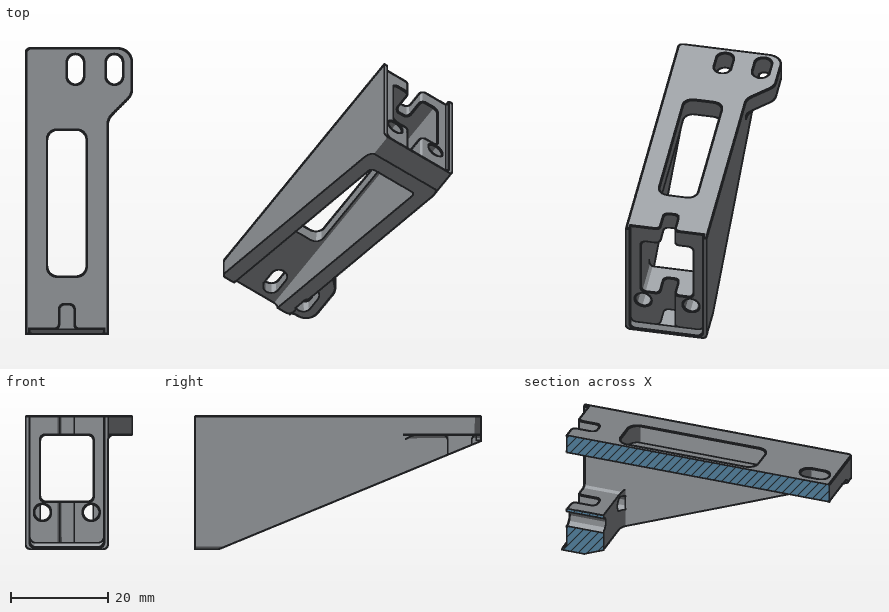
import cadquery as cq

length = 59.0
height = 27.5
body_width = 17.0
total_width = 22.0
body_center = body_width / 2
plate_thickness = 4.0
edge_chamfer = 0.2
corner_radius = 1.0

flat_bottom_length = 4.95
end_height = 5.2

flange_corner_radius = 3.0
flange_blend_radius = 3.0
flange_taper_end = 44.3
flange_width = total_width - body_width
flange_root_radius = 1.0

slot_width = 3.4
slot_length = 6.15
slot_y = 54.6
first_slot_x = 10.25
slot_pitch = 8.0

window_width = 7.95
window_start = 12.0
window_end = 42.05
window_radius = 2.0

recess_depth = 1.0
rim_width = 0.9
rim_chamfer = 0.2
lip_height = 0.35
recess_corner_radius = 1.2

tunnel_width = 10.85
tunnel_bottom = 9.9
tunnel_top = height - plate_thickness
block_end = 9.1
tunnel_radius = 1.0

groove_width = 3.0
groove_end = 6.1
groove_floor = lip_height + recess_depth

hole_diameter = 3.3
hole_spacing = 10.05
hole_z = 7.6

reach = 0.05


def box(x0, x1, y0, y1, z0, z1):
    """Axis-aligned box between two opposite corners."""
    return cq.Workplane("XY").box(x1 - x0, y1 - y0, z1 - z0, centered=False).translate((x0, y0, z0))


def centered_box(width, y0, y1, z0, z1):
    """Box centred on the body's middle plane."""
    return box(body_center - width / 2, body_center + width / 2, y0, y1, z0, z1)


def edges_inside(part, low, high):
    """Edges of the part whose centres lie inside the box from low to high."""
    return part.edges(cq.selectors.BoxSelector(low, high))


def make_body():
    body = box(0, body_width, 0, length, 0, height)
    body = body.edges("|Y and <Z").fillet(corner_radius)
    return body.edges("|Z and <X and >Y").fillet(corner_radius)


def make_flange():
    """Plate with a 45 degree taper on its side, starting inside the body so the two overlap."""
    inner_end = flange_taper_end - 2 * flange_blend_radius
    taper_corners = [
        (total_width, flange_taper_end + flange_width),
        (body_width, flange_taper_end),
    ]
    outline = [
        (body_center, length),
        (total_width, length),
        *taper_corners,
        (body_width, inner_end),
        (body_center, inner_end),
    ]
    flange = cq.Workplane("XY").workplane(offset=tunnel_top).polyline(outline).close().extrude(plate_thickness)
    flange = flange.edges("|Z and >X and >Y").fillet(flange_corner_radius)
    for x, y in taper_corners:
        corner = edges_inside(flange, (x - reach, y - reach, 0), (x + reach, y + reach, height))
        flange = corner.edges("|Z").fillet(flange_blend_radius)
    return flange.faces("<Z").edges().chamfer(edge_chamfer)


def make_flange_root():
    """Concave fillet under the flange, along the side of the body."""
    start = flange_taper_end - flange_blend_radius
    z = tunnel_top - flange_root_radius
    root = box(body_width, body_width + flange_root_radius, start, length, z, tunnel_top)
    rounding = (
        cq.Workplane("XZ")
        .center(body_width + flange_root_radius, z)
        .circle(flange_root_radius)
        .extrude(-length)
    )
    footprint = make_flange().translate((0, 0, -2 * flange_root_radius))
    return root.cut(rounding).intersect(footprint)


def make_slope_cutter():
    """Wedge below the sloped underside."""
    outline = [(flat_bottom_length, 0), (length, height - end_height), (length, 0)]
    return cq.Workplane("YZ").polyline(outline).close().extrude(total_width)


def make_recess():
    """U-shaped pocket, open at the top, whose floor climbs at 45 degrees from the lip."""
    profile = (
        cq.Workplane("XZ")
        .center(body_center, lip_height + height / 2)
        .rect(body_width - 2 * rim_width, height)
        .extrude(-recess_depth)
        .edges("|Y and <Z")
        .fillet(recess_corner_radius)
        .faces("<Y")
        .wires()
        .val()
    )
    climb = cq.Vector(0, recess_depth, recess_depth)
    return cq.Workplane(obj=cq.Solid.extrudeLinear(profile, [], climb))


def make_tunnel():
    """Through tunnel in the block that opens into a downward-facing hollow behind it."""
    tunnel = centered_box(tunnel_width, 0, length, tunnel_bottom, tunnel_top)
    hollow_top = (tunnel_bottom + tunnel_top) / 2
    tunnel = tunnel.edges("|Y").fillet(tunnel_radius)
    hollow = centered_box(tunnel_width, block_end, length, 0, hollow_top)
    hollow = hollow.edges("|Z and <Y").fillet(tunnel_radius)
    return tunnel.union(hollow)


def make_groove():
    groove = centered_box(groove_width, 0, groove_end, groove_floor, height)
    return groove.edges("|Z and >Y").fillet(corner_radius)


def make_holes():
    """Screw holes, long enough to clear the rounded corners of the hollow behind the block."""
    return (
        cq.Workplane("XZ")
        .pushPoints([(body_center - hole_spacing / 2, hole_z), (body_center + hole_spacing / 2, hole_z)])
        .circle(hole_diameter / 2)
        .extrude(-(block_end + tunnel_radius))
    )


def make_plate_openings():
    """Long window and the two mounting slots in the top plate."""
    window = centered_box(window_width, window_start, window_end, tunnel_top, height)
    window = window.edges("|Z").fillet(window_radius)
    slots = (
        cq.Workplane("XY")
        .pushPoints([(first_slot_x, slot_y), (first_slot_x + slot_pitch, slot_y)])
        .slot2D(slot_length, slot_width, 90)
        .extrude(height)
    )
    return window.union(slots)


def soften_groove_mouth(part):
    """Round the two vertical edges where the groove meets the recess face."""
    half = groove_width / 2 + reach
    low = (body_center - half, recess_depth - reach, groove_floor)
    high = (body_center + half, recess_depth + reach, height)
    return edges_inside(part, low, high).edges("|Z").fillet(corner_radius)


def chamfer_rim(part):
    """Bevel the inner border of the recess on the front face."""
    low = (rim_width - reach, -reach, 0)
    high = (rim_width + reach, reach, height)
    return edges_inside(part, low, high).chamfer(rim_chamfer)


def chamfer_recess_face(part):
    """Bevel the tunnel mouth, its borders along the groove, and the screw holes."""
    half = tunnel_width / 2 + reach
    mouth = edges_inside(
        part,
        (body_center - half, recess_depth - reach, hole_z - reach),
        (body_center + half, recess_depth + reach, tunnel_top + reach),
    ).edges("not |Z or <X or >X")
    half = groove_width / 2 + corner_radius
    for z in (tunnel_bottom, tunnel_top):
        mouth = mouth.add(
            edges_inside(
                part,
                (body_center - half, recess_depth + reach, z - reach),
                (body_center + half, groove_end + reach, z + reach),
            )
        )
    return part.newObject(mouth.vals()).chamfer(edge_chamfer)


part = make_body().union(make_flange()).union(make_flange_root())
part = part.cut(make_slope_cutter()).cut(make_recess()).cut(make_groove())
part = soften_groove_mouth(part)
part = part.cut(make_tunnel()).cut(make_holes())
part = chamfer_rim(part)
part = chamfer_recess_face(part)
part = part.cut(make_plate_openings())
result = part.faces(">Z").edges().chamfer(edge_chamfer)